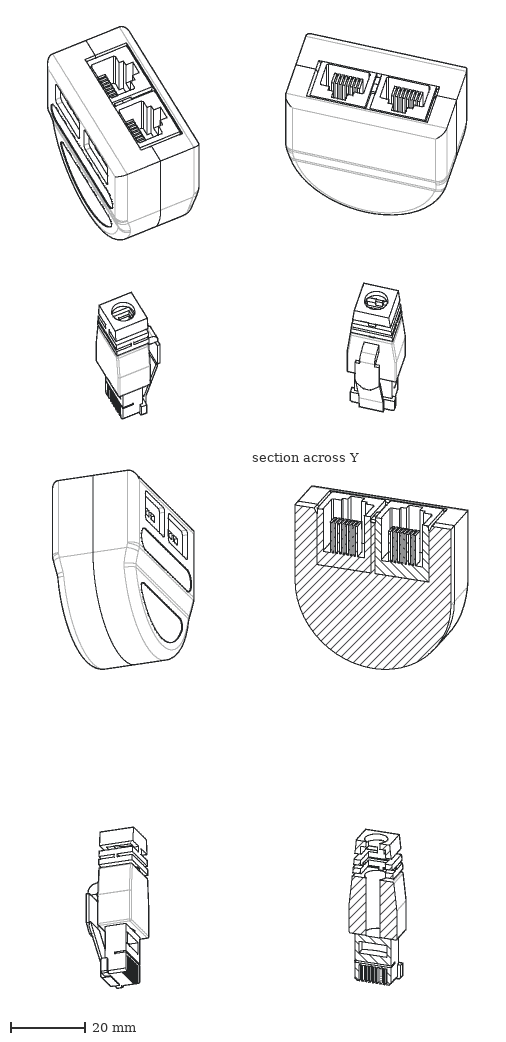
import cadquery as cq
import math


overall_height = 138.5

housing_width = 45.0
housing_depth = 25.0
arc_radius = housing_width / 2
arc_center_z = overall_height - arc_radius
half_depth = housing_depth / 2
thin_half_depth = 11.2
slope_top_z = overall_height - 21.5
slope_bottom_z = overall_height - 26.9
slope_round = 3.5
edge_round = 2.5

window_width = 14.3
window_height = 8.5
window_depth = 1.5
window_round = 1.0
window_center_x = 8.52
window_center_z = overall_height - 7.8
lamp_width = 2.8
lamp_height = 1.8
lamp_pitch = 4.2
lamp_depth = 0.8

recess_depth = 0.3
slot_length = 37.1
slot_height = 6.2
slot_center_z = overall_height - 17.9
grip_radius = 18.0
grip_top_z = overall_height - 29.5
grip_round = 2.0

jack_width = 15.4
jack_length = 16.6
jack_front_y = -3.0
jack_back_y = 9.0
jack_pitch = 16.8
port_depth = 12.5
port_half_width = 6.1
port_bottom_y = -2.6
port_shoulder_y = 4.7
port_step_half_width = 3.5
port_step_y = 6.0
port_notch_half_width = 2.0
port_notch_y = 8.0
port_notch_depth = 8.3
port_bevel = 0.4
jack_contact_top_y = 0.7
jack_contact_drop = 3.5

contact_count = 8
contact_pitch = 1.04
contact_width = 0.62

mouth_flare = 0.8
mouth_depth = 1.7
post_front_y = -2.4
post_back_y = 2.6
post_drop = 0.8

boot_bottom_z = 14.0
boot_shoulder_z = 22.8
boot_block_top_z = 31.2
boot_top_z = 42.0
boot_half_width = 6.9
boot_top_half_width = 4.8
boot_half_depth = 4.8
boot_bore_radius = 3.12
boot_cavity_half_width = 3.5
boot_cap_thickness = 1.8
boot_edge_round = 0.4

low_gap = (boot_block_top_z, 32.0)
middle_gap = (33.6, 34.5)
high_gap = (36.1, 37.8)
low_web_half_width = 0.62
high_web_half_width = 1.0
side_web_half_depth = 0.4
back_web_y = (3.5, 4.4)
low_front_web_y = (-4.4, -3.0)
high_front_web_y = (-boot_half_depth, -2.8)

latch_half_width = 3.3
guard_outer_y = 9.4
guard_inner_y = 8.6
guard_bottom_z = 14.4
guard_bottom_bevel = 2.4
guard_arm_root_z = (26.2, 29.1)
guard_arm_bottom = (7.2, 25.2)
guard_bend_start = (7.8, 28.2)
guard_bend_middle = (9.0, 27.3)
guard_bend_end_z = 25.6
guard_arm_half_width = 2.1

plug_half_width = 5.3
plug_front_y = -2.8
plug_back_y = 3.2
plug_bottom_z = 0.3
plug_bevel = 0.7
plug_contact_top_z = 5.0
plug_contact_depth = 1.4
slit_bottom_z = 5.7
slit_height = 0.4
slit_depth = 3.2
crimp_half_width = 4.0
crimp_bottom_z = 8.6
crimp_top_z = 11.9
crimp_side_y = -0.3
crimp_middle_y = 0.4

hinge_front_y = 2.4
hinge_back_y = 5.3
hinge_top_z = 4.4
ear_half_width = 6.16
ear_back_y = 4.0
ear_bevel = 0.4
lever_top_z = 16.9
lever_shoulder_z = 15.6
lever_root_y = 4.5
lever_top_y = 8.2


def block(x_range, y_range, z_range):
    """Axis-aligned block between two limits along each axis."""
    low, high = zip(x_range, y_range, z_range)
    size = [b - a for a, b in zip(low, high)]
    return cq.Workplane("XY").box(*size, centered=False).translate(low)


def mirrored_points(half):
    """Closed outline of the given (x, y) points followed by their mirror images in x = 0."""
    return half + [(-x, y) for x, y in reversed(half)]


def contact_positions():
    """X offsets of the eight contacts from the middle of their row."""
    first = -(contact_count - 1) / 2
    return [(first + i) * contact_pitch for i in range(contact_count)]


def side_profile(points, half_width):
    """(y, z) outline extruded symmetrically along X."""
    return cq.Workplane("YZ").polyline(points).close().extrude(half_width, both=True)


def front_shell():
    """Solid front half: a D-shaped outline that thins below a sloped band, with a rounded rim."""
    outline = (
        cq.Workplane("XZ")
        .moveTo(-arc_radius, overall_height)
        .lineTo(arc_radius, overall_height)
        .lineTo(arc_radius, arc_center_z)
        .threePointArc((0, arc_center_z - arc_radius), (-arc_radius, arc_center_z))
        .close()
        .extrude(half_depth)
    )
    bottom_z = arc_center_z - arc_radius
    profile = side_profile(
        [
            (0, overall_height),
            (-half_depth, overall_height),
            (-half_depth, slope_top_z),
            (-thin_half_depth, slope_bottom_z),
            (-thin_half_depth, bottom_z),
            (0, bottom_z),
        ],
        arc_radius,
    )
    band = cq.selectors.BoxSelector(
        (-1.4, -half_depth - 1.4, slope_bottom_z - 1.4), (1.4, -thin_half_depth + 1.4, slope_top_z + 1.4)
    )
    profile = profile.edges("|X").edges(band).fillet(slope_round)
    shell = outline.intersect(profile)
    side_rims = "(not |X) and (not |Y) and (not >Y)"
    top_rim = "<Y and >Z"
    return shell.edges(f"({side_rims}) or ({top_rim})").fillet(edge_round)


def jack_pocket():
    """Flared mouth and the two jack-shaped pockets below it, leaving a post between them."""
    half_width = (jack_pitch + jack_width) / 2
    center_y = (jack_front_y + jack_back_y) / 2
    depth_y = jack_back_y - jack_front_y
    flare_angle = math.degrees(math.atan(mouth_flare / mouth_depth))
    mouth = (
        cq.Workplane("XY", origin=(0, center_y, overall_height))
        .rect(2 * (half_width + mouth_flare), depth_y + 2 * mouth_flare)
        .extrude(-mouth_depth, taper=flare_angle)
    )
    mouth = mouth.intersect(
        block(
            (-arc_radius, arc_radius),
            (jack_front_y, jack_back_y + mouth_flare / 2),
            (overall_height - mouth_depth, overall_height),
        )
    )
    post_half_width = (jack_pitch - jack_width) / 2
    post = block(
        (-post_half_width, post_half_width),
        (post_front_y, post_back_y),
        (overall_height - mouth_depth, overall_height - post_drop),
    )
    pocket = mouth.cut(post)
    for x in (-jack_pitch / 2, jack_pitch / 2):
        pocket = pocket.union(jack_envelope(x))
    return pocket


def window_recess(x):
    """Rounded window with two lamp pockets in its floor."""
    window = (
        cq.Workplane("XZ", origin=(x, -half_depth, window_center_z))
        .rect(window_width, window_height)
        .extrude(-window_depth)
        .edges("|Y")
        .fillet(window_round)
    )
    lamps = (
        cq.Workplane("XZ", origin=(x, -half_depth + window_depth, window_center_z))
        .rarray(lamp_pitch, 1.4, 2, 1)
        .rect(lamp_width, lamp_height)
        .extrude(-lamp_depth)
    )
    return window.union(lamps)


def label_slot():
    """Shallow round-ended recess above the sloped band."""
    return (
        cq.Workplane("XZ", origin=(0, -half_depth, slot_center_z))
        .slot2D(slot_length, slot_height)
        .extrude(-recess_depth)
    )


def grip_recess():
    """Shallow circular segment concentric with the round end of the housing."""
    half_chord = math.sqrt(grip_radius**2 - (arc_center_z - grip_top_z) ** 2)
    return (
        cq.Workplane("XZ", origin=(0, -thin_half_depth, 0))
        .moveTo(-half_chord, grip_top_z)
        .lineTo(half_chord, grip_top_z)
        .threePointArc((0, arc_center_z - grip_radius), (-half_chord, grip_top_z))
        .close()
        .extrude(-recess_depth)
        .edges("|Y")
        .fillet(grip_round)
    )


def make_front_housing():
    body = front_shell().cut(jack_pocket())
    for x in (-window_center_x, window_center_x):
        body = body.cut(window_recess(x))
    return body.cut(label_slot()).cut(grip_recess())


def make_back_housing():
    return front_shell().mirror("XZ").cut(jack_pocket())


def jack_envelope(x):
    """Outer block of one jack, flush with the top of the housing."""
    return block(
        (x - jack_width / 2, x + jack_width / 2),
        (jack_front_y, jack_back_y),
        (overall_height - jack_length, overall_height),
    )


def make_jack(x):
    """Jack with a stepped port, a latch notch and a row of contacts."""
    port_outline = mirrored_points(
        [
            (port_half_width - port_bevel, port_bottom_y),
            (port_half_width, port_bottom_y + port_bevel),
            (port_half_width, port_shoulder_y - port_bevel),
            (port_half_width - port_bevel, port_shoulder_y),
            (port_step_half_width, port_shoulder_y),
            (port_step_half_width, port_step_y),
        ]
    )
    port = (
        cq.Workplane("XY", origin=(x, 0, overall_height))
        .polyline(port_outline)
        .close()
        .extrude(-port_depth)
    )
    notch = block(
        (x - port_notch_half_width, x + port_notch_half_width),
        (port_step_y, port_notch_y),
        (overall_height - port_notch_depth, overall_height),
    )
    jack = jack_envelope(x).cut(port).cut(notch)
    for offset in contact_positions():
        left = x + offset - contact_width / 2
        contact = block(
            (left, left + contact_width),
            (port_bottom_y, jack_contact_top_y),
            (overall_height - port_depth, overall_height - jack_contact_drop),
        )
        jack = jack.union(contact)
    return jack


def boot_half_width_at(z):
    """Half width of the boot, which tapers evenly from the shoulder to the top."""
    rise = (z - boot_shoulder_z) / (boot_top_z - boot_shoulder_z)
    return boot_half_width - max(rise, 0) * (boot_half_width - boot_top_half_width)


def boot_section(z_range):
    """Part of the tapered boot between two heights."""
    low, high = z_range
    levels = [low, high]
    if low < boot_shoulder_z < high:
        levels.insert(1, boot_shoulder_z)
    outline = mirrored_points([(boot_half_width_at(z), z) for z in levels])
    return cq.Workplane("XZ").polyline(outline).close().extrude(boot_half_depth, both=True)


def front_and_back_webs(half_width, front_y, z_range):
    """Pair of webs that bridge a gap on the front and the back."""
    front = block((-half_width, half_width), front_y, z_range)
    back = block((-half_width, half_width), back_web_y, z_range)
    return front.union(back)


def latch_guard():
    """Curved arm from the back of the boot, ending in a wider plate that hangs over the latch."""
    root_y = boot_half_depth - boot_edge_round
    root_bottom_z, root_top_z = guard_arm_root_z
    arm_bottom_z = guard_arm_bottom[1]
    profile = (
        cq.Workplane("YZ")
        .moveTo(root_y, root_top_z)
        .lineTo(*guard_bend_start)
        .threePointArc(guard_bend_middle, (guard_outer_y, guard_bend_end_z))
        .lineTo(guard_outer_y, guard_bottom_z)
        .lineTo(guard_inner_y, guard_bottom_z)
        .lineTo(guard_inner_y, arm_bottom_z)
        .lineTo(*guard_arm_bottom)
        .lineTo(root_y, root_bottom_z)
        .close()
        .extrude(latch_half_width, both=True)
    )
    back_outline = mirrored_points(
        [
            (latch_half_width - guard_bottom_bevel, guard_bottom_z),
            (latch_half_width, guard_bottom_z + guard_bottom_bevel),
            (latch_half_width, arm_bottom_z),
            (guard_arm_half_width, arm_bottom_z),
            (guard_arm_half_width, root_top_z),
        ]
    )
    back = cq.Workplane("XZ").polyline(back_outline).close().extrude(-guard_outer_y)
    return profile.intersect(back)


def make_boot():
    block_body = boot_section((boot_bottom_z, boot_block_top_z)).edges().fillet(boot_edge_round)
    boot = block_body.union(latch_guard())
    for rings in ((low_gap[1], middle_gap[0]), (middle_gap[1], high_gap[0]), (high_gap[1], boot_top_z)):
        boot = boot.union(boot_section(rings))
    bore = (
        cq.Workplane("XY", origin=(0, 0, boot_bottom_z))
        .circle(boot_bore_radius)
        .extrude(boot_top_z - boot_bottom_z)
    )
    cavity = block(
        (-boot_cavity_half_width, boot_cavity_half_width),
        (-boot_cavity_half_width, boot_cavity_half_width),
        (boot_block_top_z, boot_top_z - boot_cap_thickness),
    )
    boot = boot.cut(bore).cut(cavity)
    boot = boot.union(front_and_back_webs(low_web_half_width, low_front_web_y, low_gap))
    boot = boot.union(front_and_back_webs(high_web_half_width, high_front_web_y, high_gap))
    side_webs = boot_section(middle_gap).intersect(
        block((-boot_half_width, boot_half_width), (-side_web_half_depth, side_web_half_depth), middle_gap)
    )
    return boot.union(side_webs.cut(cavity))


def crimp_pocket():
    """Window in the front face with a concave cylindrical floor."""
    return (
        cq.Workplane("XY", origin=(0, 0, crimp_bottom_z))
        .moveTo(-crimp_half_width, plug_front_y)
        .lineTo(crimp_half_width, plug_front_y)
        .lineTo(crimp_half_width, crimp_side_y)
        .threePointArc((0, crimp_middle_y), (-crimp_half_width, crimp_side_y))
        .close()
        .extrude(crimp_top_z - crimp_bottom_z)
    )


def plug_latch():
    """Hinge block, side ears and the lever that leans out to the guard."""
    hinge = block(
        (-latch_half_width, latch_half_width), (hinge_front_y, hinge_back_y), (0, hinge_top_z)
    )
    hinge = hinge.edges("|X and >Y and <Z").chamfer(ear_bevel)
    ears = block(
        (-ear_half_width, ear_half_width), (hinge_front_y, ear_back_y), (plug_bottom_z, hinge_top_z)
    )
    ears = ears.edges("|Y and <Z").chamfer(ear_bevel)
    lever = side_profile(
        [
            (lever_root_y, hinge_top_z),
            (hinge_back_y, hinge_top_z),
            (guard_inner_y, lever_shoulder_z),
            (guard_inner_y, lever_top_z),
            (lever_top_y, lever_top_z),
        ],
        latch_half_width,
    )
    return hinge.union(ears).union(lever)


def make_plug():
    body = block(
        (-plug_half_width, plug_half_width), (plug_front_y, plug_back_y), (plug_bottom_z, boot_bottom_z)
    )
    body = body.edges("|Y and <Z").chamfer(plug_bevel)
    body = body.cut(crimp_pocket())
    slit = block(
        (-plug_half_width, plug_half_width),
        (plug_front_y, plug_front_y + slit_depth),
        (slit_bottom_z, slit_bottom_z + slit_height),
    )
    body = body.cut(slit)
    for offset in contact_positions():
        left = offset - contact_width / 2
        slot = block(
            (left, left + contact_width),
            (plug_front_y, plug_front_y + plug_contact_depth),
            (plug_bottom_z, plug_contact_top_z),
        )
        body = body.cut(slot)
    return body.union(plug_latch())


front_housing = make_front_housing()
back_housing = make_back_housing()
jacks = [make_jack(x) for x in (-jack_pitch / 2, jack_pitch / 2)]
boot = make_boot()
plug = make_plug()

result = cq.Compound.makeCompound(
    [front_housing.val(), back_housing.val(), *[jack.val() for jack in jacks], boot.val(), plug.val()]
)